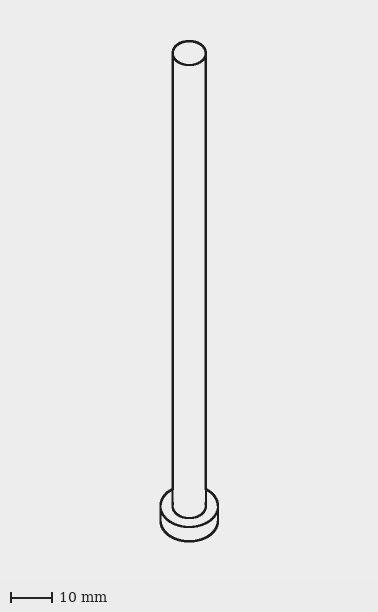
import cadquery as cq

total_length = 165.0
head_diameter = 14.0
head_height = 5.1
shaft_diameter = 8.1

head = cq.Workplane("XY").circle(head_diameter / 2).extrude(head_height)

shaft = cq.Workplane("XY").circle(shaft_diameter / 2).extrude(total_length)

result = head.union(shaft)